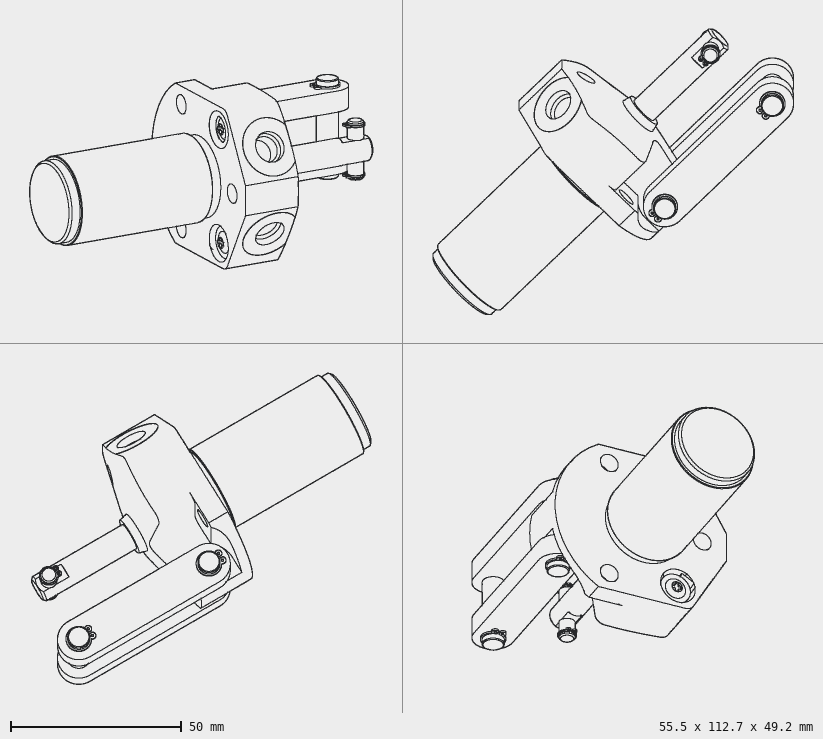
import cadquery as cq
import math


body_radius = 28.6
body_height = 49.2
body_half_height = body_height / 2
right_flat_x = 26.9
right_flat_half_height = 4.6
slant_angle = 30
corner_radius = 3.0
mount_hole_diameter = 5.7
mount_hole_radius = mount_hole_diameter / 2
right_mount_hole_x = 19.0
left_mount_hole_x = -11.0
left_mount_hole_z = 19.0

body_top_y = 22.4
top_flat_radius = 9.9
top_slope = 15
flange_thickness = 6.5
relief_wall_x = -6.8
relief_fillet = 2.9

arm_width = 12.5
arm_half_width = arm_width / 2
arm_inner_z = 6.3
arm_thickness = 6.5
pivot_x = arm_half_width - body_radius
lower_pivot_y = 11.2
pivot_spacing = 44.5
upper_pivot_y = lower_pivot_y + pivot_spacing
arm_clearance_radius = 7.9
arm_outer_z = arm_inner_z + arm_thickness

pin_diameter = 6.5
pin_radius = pin_diameter / 2
pin_overhang = 2.4
pin_chamfer = 0.28
clip_thickness = 0.6
clip_rim_ratio = 0.15
clip_gap = 0.6
ear_radius_ratio = 0.32
ear_offset_ratio = 1.2
ear_hole_radius = 0.3

rod_diameter = 8.2
rod_radius = rod_diameter / 2
rod_top_y = 56.4
rod_chamfer = 0.73
rod_flat_width = 6.9
rod_flat_z = rod_flat_width / 2
rod_flat_start_y = 46.9
bush_base_diameter = 12.4
bush_base_radius = bush_base_diameter / 2
bush_top_diameter = 11.2
bush_top_radius = bush_top_diameter / 2
bush_height = 2.5
cross_pin_diameter = 4.8
cross_pin_radius = cross_pin_diameter / 2
cross_pin_y = 52.4
cross_pin_length = 17.9
cross_pin_chamfer = 0.5
cross_clip_z = 7.4

overall_length = 112.7
barrel_bottom_y = upper_pivot_y + arm_half_width - overall_length
barrel_radius = 13.3
barrel_chamfer = 0.2
neck_diameter = 24.7
neck_radius = neck_diameter / 2
neck_length = 3.2
cap_length = 3.4
cap_chamfer = 0.7

port_x = 21.9
port_y = 11.2
spotface_diameter = 17.7
spotface_radius = spotface_diameter / 2
spotface_depth = 0.1
port_radius = 4.6
port_mouth_depth = 2.5
port_step_depth = 0.9
port_core_radius = 4.0
port_depth = 7.9

plug_x = 11.2
plug_z = 17.5
seal_outer_radius = 5.9
seal_inner_radius = 3.8
seal_protrusion = 0.3
plug_recess_depth = 1.7
plug_base_radius = 3.3
plug_tip_radius = 1.7
plug_height = 1.1
socket_arm_length = 2.9
socket_arm_width = 1.1
socket_depth = 0.7


def cylinder_y(radius, start_y, end_y, x=0, z=0):
    """Solid cylinder along Y between two heights."""
    return (
        cq.Workplane("XZ", origin=(x, start_y, z))
        .circle(radius)
        .extrude(start_y - end_y)
    )


def both_sides(half):
    """Join a feature with its mirror image across the plane Z = 0."""
    return half.union(half.mirror("XY"))


def slant_z(x):
    """Height of the upper slanted face at a given X."""
    return right_flat_half_height + (right_flat_x - x) / math.tan(math.radians(slant_angle))


def body_block():
    """Flange outline raised to a conical top."""
    arc_end_x = -math.sqrt(body_radius**2 - body_half_height**2)
    slant_run = (body_half_height - right_flat_half_height) * math.tan(math.radians(slant_angle))
    slant_top_x = right_flat_x - slant_run
    outline = (
        cq.Workplane("XZ")
        .moveTo(arc_end_x, body_half_height)
        .lineTo(slant_top_x, body_half_height)
        .lineTo(right_flat_x, right_flat_half_height)
        .lineTo(right_flat_x, -right_flat_half_height)
        .lineTo(slant_top_x, -body_half_height)
        .lineTo(arc_end_x, -body_half_height)
        .threePointArc((-body_radius, 0), (arc_end_x, body_half_height))
        .close()
        .extrude(-body_top_y)
    )
    middle_x = (slant_top_x + right_flat_x) / 2
    corners = cq.selectors.BoxSelector(
        (arc_end_x / 2, -1.1, -body_radius), (middle_x, body_top_y + 1.1, body_radius)
    )
    outline = outline.edges("|Y").edges(corners).fillet(corner_radius)

    reach = 2 * body_radius
    drop = (reach - top_flat_radius) * math.tan(math.radians(top_slope))
    cone = (
        cq.Workplane("XY")
        .moveTo(0, -reach)
        .lineTo(0, body_top_y)
        .lineTo(top_flat_radius, body_top_y)
        .lineTo(reach, body_top_y - drop)
        .lineTo(reach, -reach)
        .close()
        .revolve(360, (0, 0, 0), (0, 1, 0))
    )
    return outline.intersect(cone)


def side_relief():
    """Upper cut beside the tongue, with a hollow root and a rounded outer corner."""
    reach = 2 * body_radius
    return (
        cq.Workplane("XZ", origin=(0, flange_thickness, 0))
        .moveTo(-reach, arm_inner_z)
        .lineTo(relief_wall_x - relief_fillet, arm_inner_z)
        .radiusArc((relief_wall_x, arm_inner_z + relief_fillet), -relief_fillet)
        .lineTo(relief_wall_x, body_half_height - relief_fillet)
        .radiusArc((relief_wall_x + relief_fillet, body_half_height), relief_fillet)
        .lineTo(relief_wall_x + relief_fillet, reach)
        .lineTo(-reach, reach)
        .close()
        .extrude(-body_top_y)
    )


def arm_clearance():
    """Upper scoop in the flange that lets the arm end swing."""
    scoop_depth = body_radius
    scoop = (
        cq.Workplane("XY", origin=(pivot_x, lower_pivot_y, arm_inner_z))
        .circle(arm_clearance_radius)
        .extrude(scoop_depth)
    )
    outer_side = (
        cq.Workplane("XY", origin=(pivot_x, lower_pivot_y, arm_inner_z))
        .rect(-2 * arm_clearance_radius, -arm_clearance_radius, centered=False)
        .extrude(scoop_depth)
    )
    return scoop.union(outer_side)


def mount_holes():
    """Three bolt holes through flange and body."""
    upper_hole = cylinder_y(mount_hole_radius, 0, body_top_y, left_mount_hole_x, left_mount_hole_z)
    right_hole = cylinder_y(mount_hole_radius, 0, body_top_y, right_mount_hole_x)
    return both_sides(upper_hole).union(right_hole)


def side_port():
    """Upper port cut, square to the slanted face: a spotface and a stepped blind bore."""
    inward = cq.Vector(-math.cos(math.radians(slant_angle)), 0, -math.sin(math.radians(slant_angle)))
    face_point = cq.Vector(port_x, port_y, slant_z(port_x))
    spotface = cq.Solid.makeCylinder(spotface_radius, spotface_depth, face_point, inward)
    mouth = cq.Solid.makeCylinder(port_radius, port_mouth_depth, face_point, inward)
    step = cq.Solid.makeCone(
        port_radius,
        port_core_radius,
        port_step_depth,
        face_point + inward * port_mouth_depth,
        inward,
    )
    core = cq.Solid.makeCylinder(port_core_radius, port_depth, face_point, inward)
    return cq.Workplane(spotface.fuse(mouth, step, core))


def seal_ring():
    """Upper seal ring, standing slightly proud of the seating face."""
    section_radius = (seal_outer_radius - seal_inner_radius) / 2
    ring_radius = (seal_outer_radius + seal_inner_radius) / 2
    center = cq.Vector(plug_x, section_radius - seal_protrusion, plug_z)
    return cq.Workplane(cq.Solid.makeTorus(ring_radius, section_radius, center, cq.Vector(0, 1, 0)))


def plug_screw():
    """Upper tapered plug with a cross socket."""
    base = cq.Vector(plug_x, plug_recess_depth, plug_z)
    head = cq.Workplane(
        cq.Solid.makeCone(plug_base_radius, plug_tip_radius, plug_height, base, cq.Vector(0, -1, 0))
    )
    tip = cq.Workplane("XZ", origin=(plug_x, plug_recess_depth - plug_height, plug_z))
    for angle in (0, 90):
        slot = tip.transformed(rotate=(0, 0, angle)).rect(socket_arm_length, socket_arm_width)
        head = head.cut(slot.extrude(-socket_depth))
    return head


def clip(inner_radius, x, y, start_z):
    """Retaining ring around a pin, with two holed ears toward -Y."""
    outer_radius = inner_radius * (1 + clip_rim_ratio)
    ear_radius = ear_radius_ratio * inner_radius
    ear_x = ear_radius + clip_gap / 4
    ear_y = -ear_offset_ratio * inner_radius
    plane = cq.Workplane("XY", origin=(x, y, start_z))
    ears = [(-ear_x, ear_y), (ear_x, ear_y)]
    ring = plane.circle(outer_radius).extrude(clip_thickness)
    ring = ring.union(plane.pushPoints(ears).circle(ear_radius).extrude(clip_thickness))
    ring = ring.cut(plane.pushPoints(ears).circle(ear_hole_radius).extrude(clip_thickness))
    gap = plane.center(0, ear_y - ear_radius).rect(clip_gap, 4 * ear_radius).extrude(clip_thickness)
    return ring.cut(gap)


def pin(radius, x, y, half_length, chamfer, clip_z):
    """Pin along Z with chamfered ends and a retaining clip at each end."""
    shank = (
        cq.Workplane("XY", origin=(x, y, -half_length))
        .circle(radius)
        .extrude(2 * half_length)
        .edges()
        .chamfer(chamfer)
    )
    return shank.union(both_sides(clip(radius, x, y, clip_z)))


def arm():
    """Upper lever arm with round ends."""
    return (
        cq.Workplane("XY", origin=(pivot_x, lower_pivot_y + pivot_spacing / 2, arm_inner_z))
        .slot2D(pivot_spacing + 2 * arm_half_width, 2 * arm_half_width, 90)
        .extrude(arm_thickness)
    )


def rod():
    """Piston rod in its tapered bush, flattened at the end on both sides."""
    shaft = cylinder_y(rod_radius, 0, rod_top_y).faces(">Y").chamfer(rod_chamfer)
    flat_cut = (
        cq.Workplane("XY", origin=(0, 0, rod_flat_z))
        .center(0, (rod_flat_start_y + rod_top_y) / 2)
        .rect(2 * rod_radius, rod_top_y - rod_flat_start_y)
        .extrude(rod_radius)
    )
    bush_base = cq.Vector(0, body_top_y, 0)
    bush = cq.Workplane(
        cq.Solid.makeCone(
            bush_base_radius, bush_top_radius, bush_height, bush_base, cq.Vector(0, 1, 0)
        )
    )
    return shaft.cut(both_sides(flat_cut)).union(bush)


def barrel():
    """Neck, main barrel and end cap."""
    cap_top_y = barrel_bottom_y + cap_length
    core = cylinder_y(neck_radius, barrel_bottom_y, 0).faces("<Y").chamfer(cap_chamfer)
    sleeve = cylinder_y(barrel_radius, cap_top_y, -neck_length).edges().chamfer(barrel_chamfer)
    return core.union(sleeve)


body = body_block().cut(both_sides(side_relief())).cut(both_sides(arm_clearance()))
body = body.cut(mount_holes()).cut(both_sides(side_port()))
plug_recess = cylinder_y(
    (seal_outer_radius + seal_inner_radius) / 2, 0, plug_recess_depth, plug_x, plug_z
)
body = body.cut(both_sides(plug_recess))
body = body.union(both_sides(seal_ring())).union(both_sides(plug_screw()))

result = body.union(barrel()).union(rod())
result = result.union(
    pin(cross_pin_radius, 0, cross_pin_y, cross_pin_length / 2, cross_pin_chamfer, cross_clip_z)
)
result = result.union(both_sides(arm()))
for pivot_y in (lower_pivot_y, upper_pivot_y):
    result = result.union(
        pin(pin_radius, pivot_x, pivot_y, arm_outer_z + pin_overhang, pin_chamfer, arm_outer_z)
    )